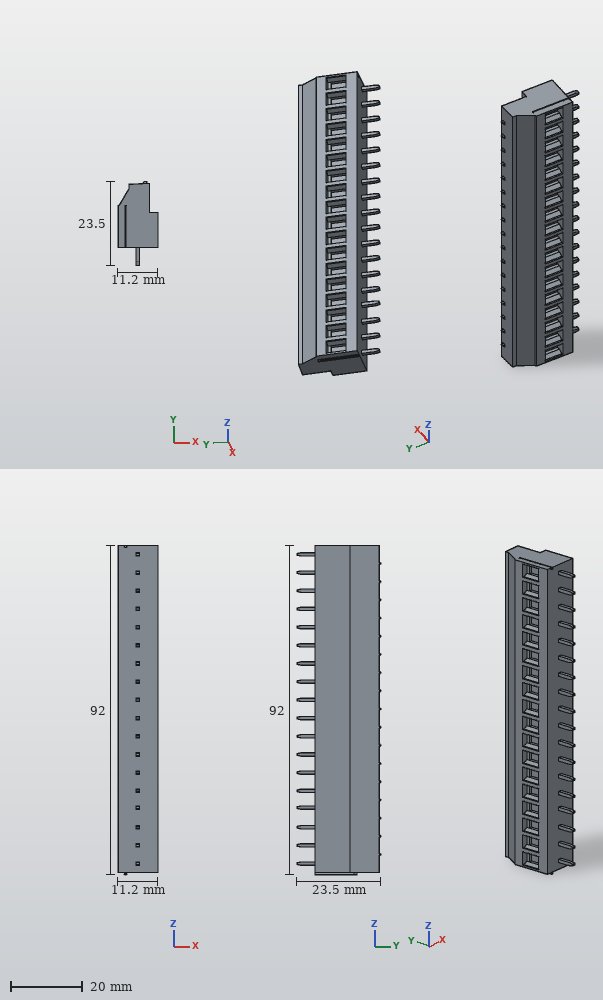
import cadquery as cq

POLES = 18
PITCH = 5.08
BLOCK_HEIGHT = POLES * PITCH

DEPTH = 11.2
SHOULDER_Y = 9.85
CROWN_BACK_X = 8.8
CROWN_FRONT_X = 3.05
CROWN_FRONT_Y = 17.75
CROWN_Y = 18.0
SLOPE_TOP_Y = 16.55
SLOPE_BASE_X = 0.4
SLOPE_BASE_Y = 12.0
FRONT_FACE_Y = 11.75

ENTRY_LOW_Y = 3.25
ENTRY_HIGH_Y = 8.95
POCKET_HIGH_Y = 8.1
ENTRY_HEIGHT = 3.95
POCKET_HEIGHT = 2.8
MOUTH_LIP = 0.5
MOUTH_DEPTH = 1.9
POCKET_DEPTH = 1.0

PIN_X = 5.5
PIN_WIDTH = 1.1
PIN_THICKNESS = 1.0
PIN_LENGTH = 5.0
TIP_LENGTH = 1.1
TIP_THICKNESS = 0.5
PIN_EMBED = 1.0
RAISED_PIN_POLE = 3
RAISED_PIN_OFFSET = 0.4

RIDGE_START_X = 6.9
RIDGE_END_X = 8.05
RIDGE_HIP = 0.45
RIDGE_RISE = 0.5
RIDGE_WIDTH = 0.8
RIDGE_ROOT_Y = CROWN_Y - 0.2

RAIL_X = 2.1
RAIL_DROP = 0.6
RAIL_WAIST = 0.45
RAIL_NECK_WIDTH = 0.25
RAIL_MAX_WIDTH = 0.8
RAIL_STOP_LENGTH = 0.9


def make_housing():
    outline = [
        (0, 0),
        (DEPTH, 0),
        (DEPTH, SHOULDER_Y),
        (CROWN_BACK_X, SHOULDER_Y),
        (CROWN_BACK_X, CROWN_Y),
        (CROWN_FRONT_X, CROWN_FRONT_Y),
        (CROWN_FRONT_X, SLOPE_TOP_Y),
        (SLOPE_BASE_X, SLOPE_BASE_Y),
        (0, FRONT_FACE_Y),
    ]
    return cq.Workplane("XY").polyline(outline).close().extrude(BLOCK_HEIGHT)


def make_wire_entry(z):
    """Cutter for one wire entry centred at height z."""
    half_entry = ENTRY_HEIGHT / 2
    half_pocket = POCKET_HEIGHT / 2
    mouth_section = [
        (0, z - half_entry),
        (MOUTH_LIP, z - half_entry),
        (MOUTH_DEPTH, z - half_pocket),
        (MOUTH_DEPTH, z + half_pocket),
        (MOUTH_LIP, z + half_entry),
        (0, z + half_entry),
    ]
    mouth = (
        cq.Workplane("XZ", origin=(0, ENTRY_HIGH_Y, 0))
        .polyline(mouth_section)
        .close()
        .extrude(ENTRY_HIGH_Y - ENTRY_LOW_Y)
    )
    pocket = cq.Workplane("XY").box(
        MOUTH_DEPTH + POCKET_DEPTH, POCKET_HIGH_Y - ENTRY_LOW_Y, POCKET_HEIGHT,
        centered=(False, False, True),
    )
    return mouth.union(pocket.translate((0, ENTRY_LOW_Y, z)))


def make_pin(z):
    """Flat pin centred at height z, thinned towards its tip."""
    half = PIN_THICKNESS / 2
    half_tip = TIP_THICKNESS / 2
    taper_y = TIP_LENGTH - PIN_LENGTH
    side = [
        (PIN_EMBED, z - half),
        (PIN_EMBED, z + half),
        (taper_y, z + half),
        (-PIN_LENGTH, z + half_tip),
        (-PIN_LENGTH, z - half_tip),
        (taper_y, z - half),
    ]
    return (
        cq.Workplane("YZ", origin=(PIN_X - PIN_WIDTH / 2, 0, 0))
        .polyline(side)
        .close()
        .extrude(PIN_WIDTH)
    )


def make_ridge(z):
    """Triangular marker ridge at height z with a sloped -X end."""
    peak_y = CROWN_Y + RIDGE_RISE
    half = RIDGE_WIDTH / 2
    section = [
        (RIDGE_ROOT_Y, z - half),
        (CROWN_Y, z - half),
        (peak_y, z),
        (CROWN_Y, z + half),
        (RIDGE_ROOT_Y, z + half),
    ]
    ridge = (
        cq.Workplane("YZ", origin=(RIDGE_START_X, 0, 0))
        .polyline(section)
        .close()
        .extrude(RIDGE_END_X - RIDGE_START_X)
    )
    hip_cut = (
        cq.Workplane("XY", origin=(0, 0, z - half))
        .polyline([
            (RIDGE_START_X, CROWN_Y),
            (RIDGE_START_X + RIDGE_HIP, peak_y),
            (RIDGE_START_X, peak_y),
        ])
        .close()
        .extrude(RIDGE_WIDTH)
    )
    return ridge.cut(hip_cut)


def make_rail_bar(length, end_z):
    """Hexagonal bar hanging below the level end_z, starting at Y = 0."""
    half_neck = RAIL_NECK_WIDTH / 2
    half_max = RAIL_MAX_WIDTH / 2
    section = [
        (RAIL_X - half_neck, end_z),
        (RAIL_X - half_max, end_z - RAIL_WAIST),
        (RAIL_X - half_neck, end_z - RAIL_DROP),
        (RAIL_X + half_neck, end_z - RAIL_DROP),
        (RAIL_X + half_max, end_z - RAIL_WAIST),
        (RAIL_X + half_neck, end_z),
    ]
    return cq.Workplane("XZ").polyline(section).close().extrude(-length)


def make_rail():
    hexagonal_length = FRONT_FACE_Y - RAIL_STOP_LENGTH
    stop = cq.Workplane("XY").box(
        RAIL_NECK_WIDTH, FRONT_FACE_Y, RAIL_DROP, centered=(True, False, False)
    )
    return make_rail_bar(hexagonal_length, 0).union(stop.translate((RAIL_X, 0, -RAIL_DROP)))


result = make_housing()
result = result.cut(make_rail_bar(FRONT_FACE_Y, BLOCK_HEIGHT))
result = result.union(make_rail())

for pole in range(POLES):
    pole_z = (pole + 0.5) * PITCH
    result = result.cut(make_wire_entry(pole_z))
    pin_offset = RAISED_PIN_OFFSET if pole == RAISED_PIN_POLE else 0
    result = result.union(make_pin(pole_z + pin_offset))

for boundary in range(1, POLES):
    result = result.union(make_ridge(boundary * PITCH))